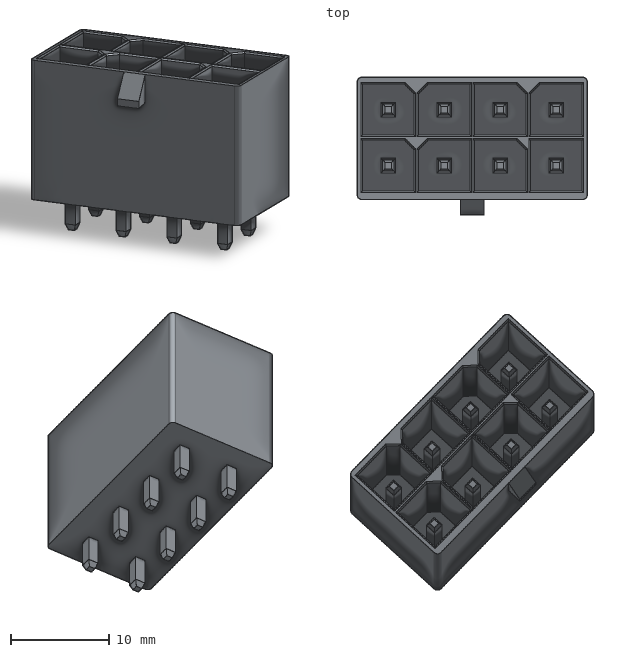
import cadquery as cq

body_length = 23.45
body_width = 12.48
body_height = 14.8
corner_radius = 0.5

pitch = 5.7
columns = 4
rows = 2
grid_offset_y = 0.08
rim_gap_x = 0.12
rim_gap_y = 0.2
mouth_length = pitch - rim_gap_x
mouth_width = pitch - rim_gap_y
cell_depth = 12.0
key_chamfer = 0.98
lead_in = 0.16
lead_in_angle = 45
floor_z = body_height - cell_depth

pin_size = 1.14
pin_length_below = 3.7
pin_top_below_rim = 5.0
pin_tip_size = 0.65
pin_tip_length = 0.67
recess_chamfer = 0.18
recess_size = pin_size + 2 * recess_chamfer

overall_width = 14.03
latch_length = 2.4
latch_reach = overall_width - body_width
ramp_end_drop = 2.45
hook_tip_drop = 3.2
hook_root_drop = 3.0


def cell_center(column, row):
    """X and Y of the middle of a cell."""
    x = (column - (columns - 1) / 2) * pitch
    y = (row - (rows - 1) / 2) * pitch + grid_offset_y
    return x, y


def make_housing():
    return (
        cq.Workplane("XY")
        .box(body_length, body_width, body_height, centered=(True, True, False))
        .edges("|Z")
        .fillet(corner_radius)
    )


def make_cell(column, row):
    """Void of one cell, with its keyed corner and the lead-in chamfer around its mouth."""
    x, y = cell_center(column, row)
    well = (
        cq.Workplane("XY", origin=(x, y, floor_z))
        .rect(mouth_length - 2 * lead_in, mouth_width - 2 * lead_in)
        .extrude(cell_depth)
    )
    is_square = row == 0 and column == columns - 1
    if not is_square:
        keyed_side = ">X" if column % 2 == 0 else "<X"
        well = well.edges("|Z").edges(keyed_side).edges(">Y").chamfer(key_chamfer)
    mouth = (
        well.faces(">Z")
        .wires()
        .toPending()
        .offset2D(lead_in, "intersection")
        .extrude(-lead_in, combine=False, taper=lead_in_angle)
    )
    return well.union(mouth)


def make_recess(column, row):
    """45 degree countersink in the cell floor, narrowing to the pin."""
    x, y = cell_center(column, row)
    return (
        cq.Workplane("XY", origin=(x, y, floor_z))
        .rect(recess_size, recess_size)
        .workplane(offset=-recess_chamfer)
        .rect(pin_size, pin_size)
        .loft(ruled=True)
    )


def make_tip(x, y, base_z, end_z):
    """Square taper from the pin section at base_z to the blunt point at end_z."""
    return (
        cq.Workplane("XY", origin=(x, y, base_z))
        .rect(pin_size, pin_size)
        .workplane(offset=end_z - base_z)
        .rect(pin_tip_size, pin_tip_size)
        .loft(ruled=True)
    )


def make_pin(column, row):
    """Square pin through the cell floor, tapered at both ends."""
    x, y = cell_center(column, row)
    bottom_z = -pin_length_below
    top_z = body_height - pin_top_below_rim
    shank_bottom_z = bottom_z + pin_tip_length
    shank_top_z = top_z - pin_tip_length
    shank = (
        cq.Workplane("XY", origin=(x, y, shank_bottom_z))
        .rect(pin_size, pin_size)
        .extrude(shank_top_z - shank_bottom_z)
    )
    lower_tip = make_tip(x, y, shank_bottom_z, bottom_z)
    upper_tip = make_tip(x, y, shank_top_z, top_z)
    return shank.union(lower_tip).union(upper_tip)


def make_latch():
    """Hook whose ramp starts at the rim and whose underside slopes down towards the tip."""
    wall_y = -body_width / 2
    tip_y = wall_y - latch_reach
    return (
        cq.Workplane("YZ", origin=(-latch_length / 2, 0, 0))
        .moveTo(wall_y, body_height)
        .lineTo(tip_y, body_height - ramp_end_drop)
        .lineTo(tip_y, body_height - hook_tip_drop)
        .lineTo(wall_y, body_height - hook_root_drop)
        .close()
        .extrude(latch_length)
    )


result = make_housing().union(make_latch())
for column in range(columns):
    for row in range(rows):
        result = result.cut(make_cell(column, row))
        result = result.cut(make_recess(column, row))
        result = result.union(make_pin(column, row))